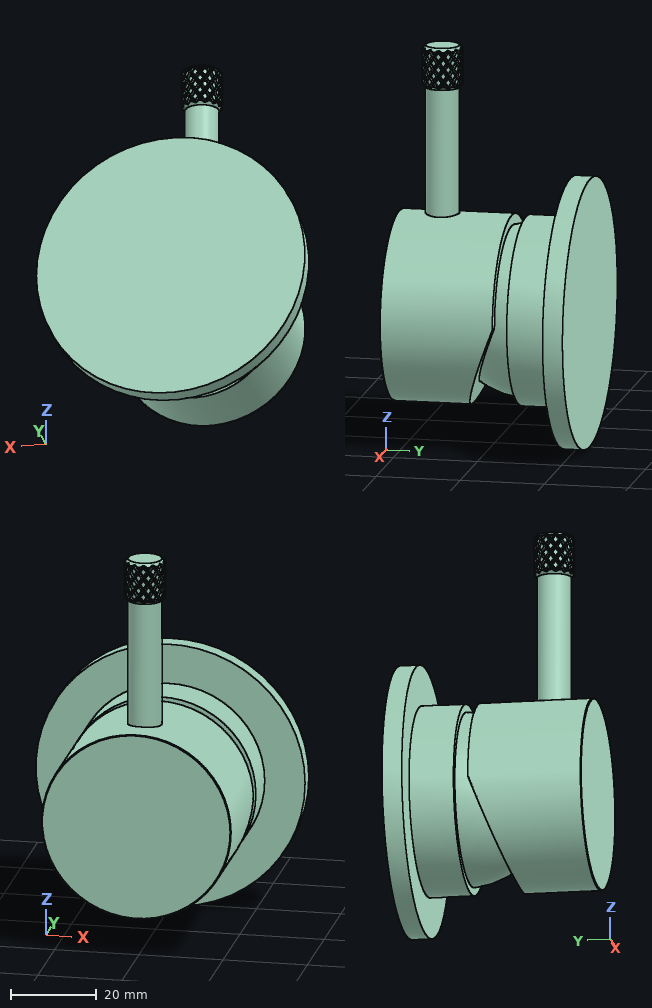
import cadquery as cq
import math


plate_diameter = 64.0
plate_radius = plate_diameter / 2
plate_thickness = 4.7

collar_radius = 22.4
collar_length = 10.5
collar_front = plate_thickness + collar_length

ball_radius = 20.5
ball_center = 13.8

handle_radius = 22.5
total_depth = 45.45
handle_length = 26.8
handle_rear = total_depth - handle_length
handle_relief = 8.8
handle_edge_chamfer = 0.2

stem_diameter = 8.0
stem_radius = stem_diameter / 2
stem_axis = 35.1
stem_socket_depth = 4.7
stem_bottom = handle_radius - stem_socket_depth

total_height = 94.5
grip_radius = 4.8
grip_height = 10.0
grip_top = total_height - plate_radius
grip_bottom = grip_top - grip_height
grip_chamfer = grip_radius - stem_radius

groove_count = 13
groove_twist = 90.0
groove_depth = 0.4
groove_share = 0.4
groove_phase = 7.0


def disc_along_y(radius, start, length):
    """Round disc on the main axis, from `start` to `start + length` off the wall."""
    return cq.Workplane("XZ").workplane(offset=start).circle(radius).extrude(length)


def make_plate():
    return disc_along_y(plate_radius, 0, plate_thickness)


def make_collar():
    return disc_along_y(collar_radius, plate_thickness, collar_length)


def make_ball():
    """Spherical dome with its flat back on the collar face."""
    sphere = cq.Workplane("XY").sphere(ball_radius).translate((0, -ball_center, 0))
    return sphere.intersect(disc_along_y(collar_radius, collar_front, total_depth)).solids()


def make_stem():
    return (
        cq.Workplane("XY", origin=(0, -stem_axis, stem_bottom))
        .circle(stem_radius)
        .extrude(grip_bottom - stem_bottom)
    )


def make_handle(ball, stem):
    """Cylinder with a sloped lower rear edge, hollowed to fit the ball and the stem."""
    body = disc_along_y(handle_radius, handle_rear, handle_length)
    body = body.faces("<Y").chamfer(handle_edge_chamfer)
    slope_cut = (
        cq.Workplane("YZ")
        .polyline([
            (-handle_rear, 0),
            (-handle_rear - handle_relief, -handle_radius),
            (-handle_rear, -handle_radius),
        ])
        .close()
        .extrude(handle_radius, both=True)
    )
    return body.cut(slope_cut).cut(ball).cut(stem).solids()


def groove_cutter(start_angle, twist):
    """V section winding up the grip from `start_angle`, turning `twist` degrees."""
    tip_radius = grip_radius - groove_depth
    outer_radius = grip_radius + groove_depth
    half_width = groove_share * 2 * math.pi * grip_radius / groove_count
    return (
        cq.Workplane("XY")
        .polyline([(tip_radius, 0), (outer_radius, -half_width), (outer_radius, half_width)])
        .close()
        .twistExtrude(grip_height, twist)
        .rotate((0, 0, 0), (0, 0, 1), start_angle)
    )


def make_grip():
    """Cylinder with chamfered rims and a diamond knurl, standing on the stem."""
    grip = cq.Workplane("XY").circle(grip_radius).extrude(grip_height)
    grip = grip.edges().chamfer(grip_chamfer).val()
    pitch = 360 / groove_count
    for twist in (groove_twist, -groove_twist):
        first_groove = groove_phase - 90 + pitch / 2 - twist / 2
        cutters = [
            groove_cutter(first_groove + index * pitch, twist).val()
            for index in range(groove_count)
        ]
        grip = grip.cut(*cutters)
    return cq.Workplane(grip).solids().translate((0, -stem_axis, grip_bottom))


plate = make_plate()
collar = make_collar()
ball = make_ball()
stem = make_stem()
handle = make_handle(ball, stem)
grip = make_grip()

result = cq.Compound.makeCompound([
    plate.val(),
    collar.val(),
    ball.val(),
    handle.val(),
    stem.val(),
    grip.val(),
])